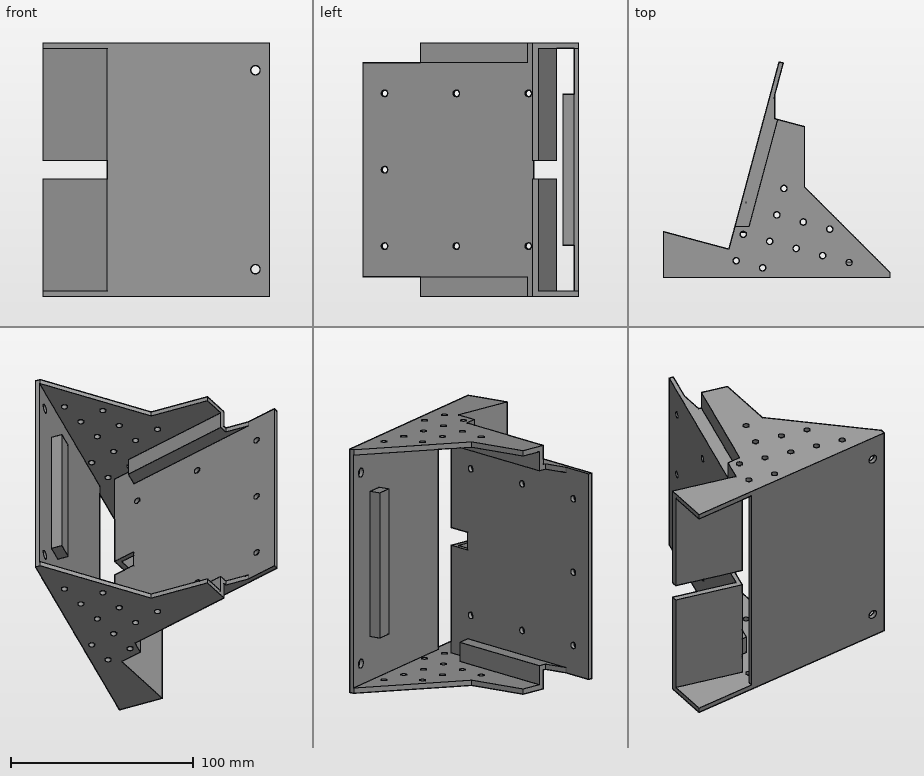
import cadquery as cq
import math

WIDTH = 124.1
DEPTH = 118.2
HEIGHT = 138.8

SIDE_WALL = 3.0
FRONT_WALL = 2.5
PANEL_WALL = 2.5
LIP_WALL = 3.0

LEAN = 15.0
LIP_TOP_Y = 25.3
CORNER_X = 35.8
FRONT_WALL_START_X = 35.1
REAR_X = 77.3
REAR_TIP_Y = 2.8

PANEL_MARGIN = 10.8
NOTCH_DEPTH = 7.5
NOTCH_START_Y = 27.9
GUSSET_X = 61.1
ARM_END_Y = 86.6

SLOT_HEIGHT = 10.0
SLOT_END_Y = 24.6

BAR_START_X = 97.2
BAR_LENGTH = 9.5
BAR_DEPTH = 6.1
BAR_HEIGHT = 82.8

SIDE_HOLE_D = 3.3
SIDE_HOLE_PITCH = 15.0
SIDE_HOLE_ORIGIN = (43.7, 23.7)
SIDE_HOLE_ROWS = [(-1, 0, 2), (0, 0, 5), (1, 1, 3), (2, 1, 1)]
PANEL_HOLE_D = 3.6
PANEL_HOLE_YS = (27.6, 67.0, 106.4)
PANEL_HOLE_SPACING = 41.8
FRONT_HOLE_D = 5.0
FRONT_HOLE_X = 116.4
FRONT_HOLE_EDGE = 15.0

COS = math.cos(math.radians(LEAN))
SIN = math.sin(math.radians(LEAN))
TAN = SIN / COS
CORNER_Y = LIP_TOP_Y - CORNER_X * TAN
MID_Z = HEIGHT / 2


def panel_x(y, inset=0.0):
    """X of the leaning panel's outer face at height y, moved inward by inset."""
    return CORNER_X + (y - CORNER_Y) * TAN + inset / COS


def prism(points, z_low, z_high):
    """Extrude an XY outline between two Z levels."""
    return cq.Workplane("XY").workplane(offset=z_low).polyline(points).close().extrude(z_high - z_low)


arm_tip = (panel_x(ARM_END_Y, NOTCH_DEPTH), ARM_END_Y)
arm_rear_y = ARM_END_Y - (REAR_X - arm_tip[0]) * TAN
rear_slope_y = REAR_TIP_Y + WIDTH - REAR_X
arm_root_y = ARM_END_Y + NOTCH_DEPTH * SIN

side_outline = [
    (0, 0), (WIDTH, 0), (WIDTH, REAR_TIP_Y), (REAR_X, rear_slope_y), (REAR_X, arm_rear_y),
    (panel_x(arm_root_y), arm_root_y), (CORNER_X, CORNER_Y), (0, LIP_TOP_Y),
]


def leaning_panel():
    """Thin leaning panel: full height at its foot, narrower above the notches."""
    inner_corner_y = CORNER_Y - PANEL_WALL * SIN
    inner_corner_x = CORNER_X + PANEL_WALL * COS

    def strip(top, square_end):
        end = (panel_x(top), top)
        inner = (panel_x(top, PANEL_WALL), top)
        if square_end:
            inner = (end[0] + PANEL_WALL * COS, top - PANEL_WALL * SIN)
        return [(CORNER_X, CORNER_Y), (inner_corner_x, inner_corner_y), inner, end]

    foot = prism(strip(NOTCH_START_Y, False), 0, HEIGHT)
    panel = prism(strip(DEPTH, True), PANEL_MARGIN, HEIGHT - PANEL_MARGIN)
    return foot.union(panel)


def lip():
    """Sloping lip, square to the panel, running under the panel's foot."""
    end_x = CORNER_X + PANEL_WALL * COS
    end_y = CORNER_Y - PANEL_WALL * SIN
    drop = LIP_WALL / COS
    return prism(
        [
            (0, LIP_TOP_Y), (end_x, end_y),
            (end_x - LIP_WALL * SIN, end_y - LIP_WALL * COS), (0, LIP_TOP_Y - drop),
        ],
        0, HEIGHT,
    )


def side_frame():
    """Lower side wall with the thick-walled surround of its notch."""
    wall = prism(side_outline, 0, SIDE_WALL)
    surround_start_y = NOTCH_START_Y - SIDE_WALL
    surround_inset = NOTCH_DEPTH + SIDE_WALL
    surround = prism(
        [
            (panel_x(surround_start_y), surround_start_y),
            (panel_x(surround_start_y, surround_inset), surround_start_y),
            (panel_x(DEPTH, surround_inset), DEPTH),
            (panel_x(DEPTH), DEPTH),
        ],
        0, PANEL_MARGIN + SIDE_WALL,
    ).intersect(prism(side_outline, 0, HEIGHT))
    notch = prism(
        [
            (panel_x(NOTCH_START_Y), NOTCH_START_Y),
            (panel_x(NOTCH_START_Y, NOTCH_DEPTH), NOTCH_START_Y),
            (panel_x(DEPTH, NOTCH_DEPTH), DEPTH),
            (panel_x(DEPTH), DEPTH),
        ],
        0, PANEL_MARGIN,
    )
    gusset_foot_y = ARM_END_Y + (arm_tip[0] - GUSSET_X) * TAN
    gusset_top_y = CORNER_Y + (GUSSET_X - CORNER_X - PANEL_WALL / COS) / TAN
    gusset = prism(
        [
            (panel_x(gusset_foot_y), gusset_foot_y), (GUSSET_X, gusset_foot_y),
            (GUSSET_X, gusset_top_y), (panel_x(gusset_top_y), gusset_top_y),
        ],
        PANEL_MARGIN, PANEL_MARGIN + SIDE_WALL,
    )
    return wall.union(surround).cut(notch).union(gusset)


def front_wall():
    """Front wall with a bar along its inside."""
    wall = cq.Workplane("XY").box(WIDTH - FRONT_WALL_START_X, FRONT_WALL, HEIGHT, centered=False)
    wall = wall.translate((FRONT_WALL_START_X, 0, 0))
    bar = cq.Workplane("XY").box(BAR_LENGTH, BAR_DEPTH, BAR_HEIGHT, centered=False)
    return wall.union(bar.translate((BAR_START_X, FRONT_WALL, MID_Z - BAR_HEIGHT / 2)))


def lip_slot():
    """Slot that splits the lip and the foot of the panel at mid height."""
    z_low = MID_Z - SLOT_HEIGHT / 2
    z_high = MID_Z + SLOT_HEIGHT / 2
    slot_x = panel_x(SLOT_END_Y, PANEL_WALL)
    return prism(
        [
            (0, FRONT_WALL), (slot_x, FRONT_WALL), (slot_x, SLOT_END_Y),
            (CORNER_X, SLOT_END_Y), (0, LIP_TOP_Y),
        ],
        z_low, z_high,
    )


def side_holes():
    """Hole grid aligned with the panel, through both side walls."""
    centers = []
    for row, first, count in SIDE_HOLE_ROWS:
        for column in range(first, first + count):
            x = SIDE_HOLE_ORIGIN[0] + SIDE_HOLE_PITCH * (column * COS + row * SIN)
            y = SIDE_HOLE_ORIGIN[1] + SIDE_HOLE_PITCH * (row * COS - column * SIN)
            centers.append((x, y))
    pins = cq.Workplane("XY").pushPoints(centers).circle(SIDE_HOLE_D / 2)
    lower = pins.extrude(SIDE_WALL)
    return lower.union(lower.translate((0, 0, HEIGHT - SIDE_WALL)))


def panel_holes():
    """Holes square to the panel: three at its top end, two in each row below."""
    direction = cq.Vector(COS, -SIN, 0)
    pins = cq.Workplane("XY")
    for y in PANEL_HOLE_YS:
        for step in (-1, 0, 1):
            if step == 0 and y != PANEL_HOLE_YS[-1]:
                continue
            start = cq.Vector(panel_x(y), y, MID_Z + step * PANEL_HOLE_SPACING) - direction * PANEL_WALL
            pins.add(cq.Solid.makeCylinder(PANEL_HOLE_D / 2, 3 * PANEL_WALL, start, direction))
    return pins.combine()


def front_holes():
    """Two holes through the front wall near its free edge."""
    centers = [(FRONT_HOLE_X, FRONT_HOLE_EDGE), (FRONT_HOLE_X, HEIGHT - FRONT_HOLE_EDGE)]
    return cq.Workplane("XZ").pushPoints(centers).circle(FRONT_HOLE_D / 2).extrude(-FRONT_WALL)


lower_frame = side_frame()
upper_frame = lower_frame.mirror("XY").translate((0, 0, HEIGHT))
body = leaning_panel().union(lip()).union(front_wall()).union(lower_frame).union(upper_frame)
result = body.cut(lip_slot()).cut(side_holes()).cut(panel_holes()).cut(front_holes())